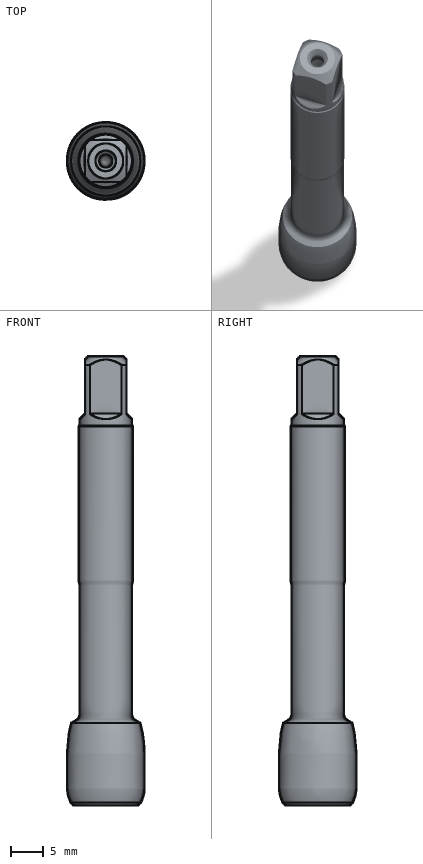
import cadquery as cq
import math

total_length = 70.0

head_radius = 12.1 / 2
head_top_z = 12.9
head_top_radius = 5.4
crown_start_z = 8.1
lead_start_z = 2.65
lead_end_z = 0.5
lead_end_radius = 5.45
bottom_chamfer = 0.5
lead_bulge = 0.15

neck_radius = 8.2 / 2
grip_radius = 8.5 / 2
grip_bottom_z = 35.0
grip_top_z = 59.1
grip_lower_taper = 0.55
grip_upper_chamfer = grip_radius - neck_radius

flare_fillet = 1.05
flare_slope = math.radians(30)

square_size = 6.5
square_bottom_z = 61.05
drive_top_radius = 2.7

center_mouth_radius = 1.6
center_bore_radius = 2.0 / 2
center_cone_depth = (center_mouth_radius - center_bore_radius) / math.tan(math.radians(30))
center_bore_depth = 2.45
center_tip_depth = center_bore_depth + center_bore_radius / math.tan(math.radians(59))


def center_hole():
    """Center-drill shape with its mouth at Z = 0, going down along -Z."""
    return (
        cq.Workplane("XZ")
        .lineTo(center_mouth_radius, 0)
        .lineTo(center_bore_radius, -center_cone_depth)
        .lineTo(center_bore_radius, -center_bore_depth)
        .lineTo(0, -center_tip_depth)
        .close()
        .revolve(360, (0, 0), (0, 1))
    )


def flat_cutter():
    """Stock outside the +X flat; its lower end runs out at 45 degrees."""
    flat_x = square_size / 2
    outer_x = flat_x + grip_radius
    runout_z = square_bottom_z - (outer_x - flat_x)
    return (
        cq.Workplane("XZ")
        .moveTo(flat_x, total_length)
        .lineTo(flat_x, square_bottom_z)
        .lineTo(outer_x, runout_z)
        .lineTo(outer_x, total_length)
        .close()
        .extrude(grip_radius, both=True)
    )


def make_shank():
    fillet_end_radius = neck_radius + flare_fillet * (1 - math.sin(flare_slope))
    fillet_end_z = head_top_z + (head_top_radius - fillet_end_radius) * math.tan(flare_slope)
    fillet_start_z = fillet_end_z + flare_fillet * math.cos(flare_slope)
    drive_chamfer = neck_radius - drive_top_radius

    shank = (
        cq.Workplane("XZ")
        .moveTo(0, head_top_z)
        .lineTo(head_top_radius, head_top_z)
        .lineTo(fillet_end_radius, fillet_end_z)
        .tangentArcPoint((neck_radius, fillet_start_z), relative=False)
        .lineTo(neck_radius, grip_bottom_z - grip_lower_taper)
        .lineTo(grip_radius, grip_bottom_z)
        .lineTo(grip_radius, grip_top_z)
        .lineTo(neck_radius, grip_top_z + grip_upper_chamfer)
        .lineTo(neck_radius, total_length - drive_chamfer)
        .lineTo(drive_top_radius, total_length)
        .lineTo(0, total_length)
        .close()
        .revolve(360, (0, 0), (0, 1))
    )
    for side in range(4):
        shank = shank.cut(flat_cutter().rotate((0, 0, 0), (0, 0, 1), 90 * side))
    return shank.cut(center_hole().translate((0, 0, total_length)))


def make_head():
    lead_middle_radius = (head_radius + lead_end_radius) / 2 + lead_bulge
    lead_middle_z = (lead_start_z + lead_end_z) / 2

    head = (
        cq.Workplane("XZ")
        .lineTo(lead_end_radius - bottom_chamfer, 0)
        .lineTo(lead_end_radius, lead_end_z)
        .threePointArc((lead_middle_radius, lead_middle_z), (head_radius, lead_start_z))
        .lineTo(head_radius, crown_start_z)
        .tangentArcPoint((head_top_radius, head_top_z), relative=False)
        .lineTo(0, head_top_z)
        .close()
        .revolve(360, (0, 0), (0, 1))
    )
    return head.cut(center_hole().rotate((0, 0, 0), (1, 0, 0), 180))


shank = make_shank()
head = make_head()

result = cq.Compound.makeCompound([shank.val(), head.val()])